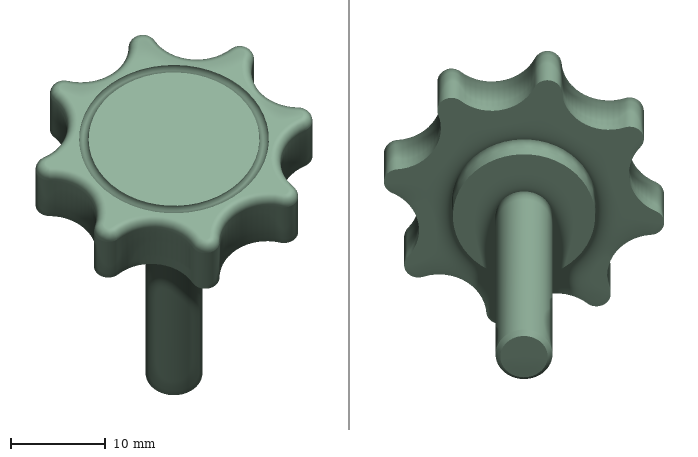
import cadquery as cq
import math

LOBE_COUNT = 8
HEAD_RADIUS = 15.0
HEAD_HEIGHT = 7.0
LOBE_TIP_RADIUS = 1.5
SCOOP_RADIUS = 5.0
TOP_FILLET = 1.0

GROOVE_MEAN_RADIUS = 9.5
GROOVE_SECTION_RADIUS = 0.5

HUB_HEIGHT = 3.0
HUB_BOTTOM_RADIUS = 7.5
HUB_DRAFT_ANGLE = 2.0

STUD_RADIUS = 3.0
STUD_LENGTH = 30.0
STUD_CHAMFER = 0.5

HEAD_BOTTOM_Z = HUB_HEIGHT
HEAD_TOP_Z = HEAD_BOTTOM_Z + HEAD_HEIGHT

LOBE_PITCH = 2 * math.pi / LOBE_COUNT


def polar(radius, angle):
    return (radius * math.cos(angle), radius * math.sin(angle))


def star_outline():
    """Convex lobe tips joined tangentially by concave scoops."""
    tip_center_radius = HEAD_RADIUS - LOBE_TIP_RADIUS
    half_pitch = LOBE_PITCH / 2

    center_distance = LOBE_TIP_RADIUS + SCOOP_RADIUS
    half_chord = tip_center_radius * math.sin(half_pitch)
    scoop_center_radius = (
        tip_center_radius * math.cos(half_pitch)
        + math.sqrt(center_distance**2 - half_chord**2)
    )
    valley_radius = scoop_center_radius - SCOOP_RADIUS

    scoop_x, scoop_y = polar(scoop_center_radius, half_pitch)
    tip_share = LOBE_TIP_RADIUS / center_distance
    tangent_x = tip_center_radius + tip_share * (scoop_x - tip_center_radius)
    tangent_y = tip_share * scoop_y
    tangent_radius = math.hypot(tangent_x, tangent_y)
    tangent_angle = math.atan2(tangent_y, tangent_x)

    outline = cq.Workplane("XY", origin=(0, 0, HEAD_BOTTOM_Z))
    outline = outline.moveTo(*polar(tangent_radius, -tangent_angle))
    for lobe in range(LOBE_COUNT):
        angle = lobe * LOBE_PITCH
        next_angle = angle + LOBE_PITCH
        outline = outline.threePointArc(
            polar(HEAD_RADIUS, angle),
            polar(tangent_radius, angle + tangent_angle),
        )
        outline = outline.threePointArc(
            polar(valley_radius, angle + half_pitch),
            polar(tangent_radius, next_angle - tangent_angle),
        )
    return outline.close()


def make_hub():
    top_radius = HUB_BOTTOM_RADIUS + HUB_HEIGHT * math.tan(math.radians(HUB_DRAFT_ANGLE))
    return cq.Workplane(cq.Solid.makeCone(HUB_BOTTOM_RADIUS, top_radius, HUB_HEIGHT))


def make_ring_groove():
    """Torus centred on the top face; its lower half cuts the groove."""
    return cq.Workplane(
        cq.Solid.makeTorus(GROOVE_MEAN_RADIUS, GROOVE_SECTION_RADIUS, cq.Vector(0, 0, HEAD_TOP_Z))
    )


def make_knob():
    head = star_outline().extrude(HEAD_HEIGHT)
    head = head.faces(">Z").edges().fillet(TOP_FILLET)
    head = head.cut(make_ring_groove())
    return head.union(make_hub()).solids()


def make_stud():
    """Plain stud seated against the bottom face of the hub, chamfered at its free end."""
    stud = cq.Workplane("XY").circle(STUD_RADIUS).extrude(-STUD_LENGTH)
    return stud.faces("<Z").edges().chamfer(STUD_CHAMFER)


knob = make_knob()
stud = make_stud()

result = cq.Compound.makeCompound([knob.val(), stud.val()])